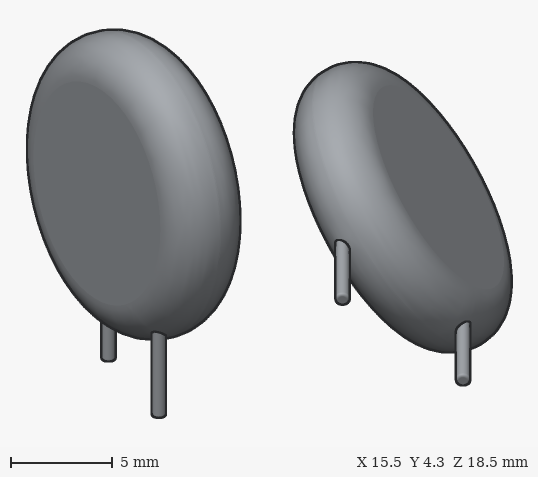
import cadquery as cq

body_diameter = 15.5
body_thickness = 4.3
rim_band_width = 0.07
rim_radius = (body_thickness - rim_band_width) / 2

total_height = 18.53
lead_diameter = 0.72
lead_spacing_x = 7.49
lead_spacing_y = 2.0
lead_tip_fillet = 0.15

body_radius = body_diameter / 2
lead_bottom = body_radius - total_height


def make_body():
    """Disc centred on the origin with fully rounded edges."""
    disc = cq.Workplane("XZ").circle(body_radius).extrude(body_thickness / 2, both=True)
    return disc.edges().fillet(rim_radius)


def make_lead(x, y):
    """Round wire from its softened tip up to the body's centre height."""
    wire = cq.Workplane("XY", origin=(x, y, lead_bottom)).circle(lead_diameter / 2).extrude(-lead_bottom)
    return wire.faces("<Z").edges().fillet(lead_tip_fillet)


result = make_body()
for side in (-1, 1):
    result = result.union(make_lead(side * lead_spacing_x / 2, -side * lead_spacing_y / 2))